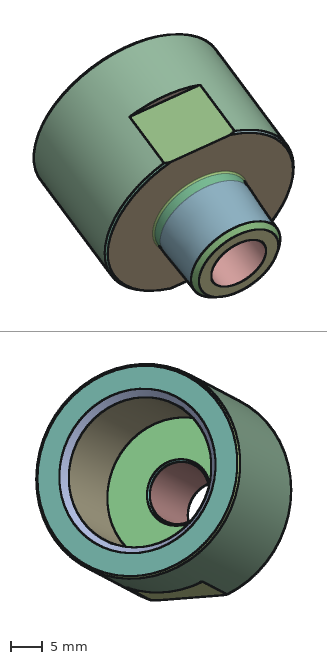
import cadquery as cq
import math

total_length = 35.0
body_diameter = 34.5
body_length = 23.0
body_chamfer = 0.35

root_fillet = 0.28
collar_diameter = 16.9
collar_width = 1.92
tip_diameter = 16.3
tip_chamfer = 0.9

socket_diameter = 24.1
socket_mouth_diameter = 26.42
socket_depth = 18.0
hole_diameter = 10.0
hole_chamfer = 0.35

across_flats = 32.02
flat_length = 11.13

body_radius = body_diameter / 2
socket_radius = socket_diameter / 2
hole_radius = hole_diameter / 2
socket_mouth_depth = (socket_mouth_diameter - socket_diameter) / 2
collar_radius = collar_diameter / 2
tip_radius = tip_diameter / 2
collar_end = body_length + collar_width


def revolve_about_x(outline):
    """Revolve a closed (x, radius) outline about the X axis."""
    return outline.close().revolve(360, (0, 0, 0), (1, 0, 0))


def make_turned_solid():
    """Body and spigot without any bore."""
    fillet_mid_offset = root_fillet * (1 - math.cos(math.radians(45)))
    fillet_mid = (body_length + fillet_mid_offset, collar_radius + fillet_mid_offset)
    outline = (
        cq.Workplane("XY")
        .lineTo(0, body_radius - body_chamfer)
        .lineTo(body_chamfer, body_radius)
        .lineTo(body_length - body_chamfer, body_radius)
        .lineTo(body_length, body_radius - body_chamfer)
        .lineTo(body_length, collar_radius + root_fillet)
        .threePointArc(fillet_mid, (body_length + root_fillet, collar_radius))
        .lineTo(collar_end, collar_radius)
        .lineTo(total_length - tip_chamfer, tip_radius)
        .lineTo(total_length, tip_radius - tip_chamfer)
        .lineTo(total_length, 0)
    )
    return revolve_about_x(outline)


def make_bore():
    """Countersunk socket running into a smaller through hole."""
    outline = (
        cq.Workplane("XY")
        .lineTo(0, socket_radius + socket_mouth_depth)
        .lineTo(socket_mouth_depth, socket_radius)
        .lineTo(socket_depth, socket_radius)
        .lineTo(socket_depth, hole_radius + hole_chamfer)
        .lineTo(socket_depth + hole_chamfer, hole_radius)
        .lineTo(total_length, hole_radius)
        .lineTo(total_length, 0)
    )
    return revolve_about_x(outline)


def make_flat_cutter(side):
    """Block that cuts one wrench flat; side is +1 for the top and -1 for the bottom."""
    flat_depth = (body_diameter - across_flats) / 2
    centre_x = body_length - flat_length / 2
    centre_z = side * (across_flats + flat_depth) / 2
    block = cq.Workplane("XY").box(flat_length, body_diameter, flat_depth)
    return block.translate((centre_x, 0, centre_z))


result = make_turned_solid().cut(make_bore())
for side in (1, -1):
    result = result.cut(make_flat_cutter(side))